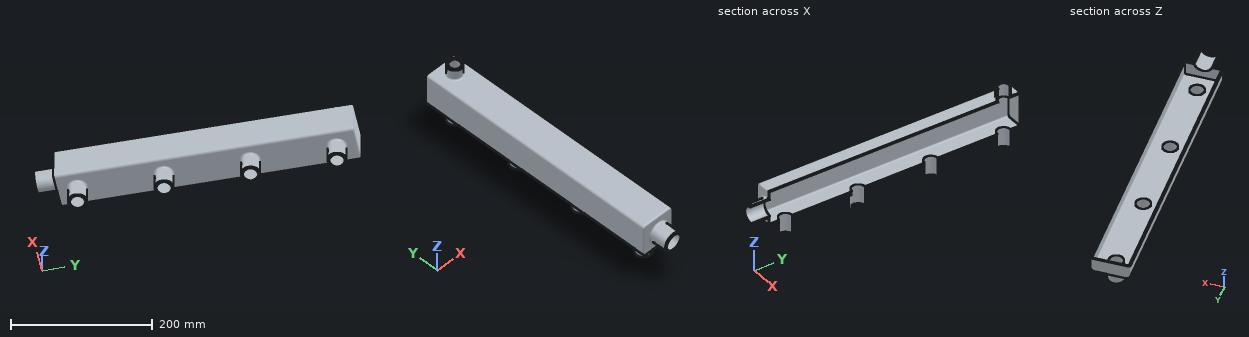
import cadquery as cq

body_width = 60.0
body_length = 435.0
wall = 3.0
corner_radius = 6.0
end_edge_radius = 3.0

inlet_diameter, inlet_bore, inlet_length = 33.5, 27.5, 30.0
outlet_diameter, outlet_bore, outlet_length = 26.8, 22.0, 30.0
vent_diameter, vent_bore, vent_length = 25.0, 18.63, 20.0
weld_radius = 3.0
rim_chamfer = 0.5

outlet_count = 4
outlet_pitch = 125.0
outlet_end_margin = (body_length - (outlet_count - 1) * outlet_pitch) / 2

half_width = body_width / 2
front_y = -body_length / 2
rear_outlet_y = body_length / 2 - outlet_end_margin

front_face = cq.Plane((0, front_y, 0), xDir=(1, 0, 0), normal=(0, -1, 0))


def top_face(y):
    return cq.Plane((0, y, half_width), xDir=(1, 0, 0), normal=(0, 0, 1))


def bottom_face(y):
    return cq.Plane((0, y, -half_width), xDir=(1, 0, 0), normal=(0, 0, -1))


def make_body():
    body = cq.Workplane("XY").box(body_width, body_length, body_width)
    body = body.edges("|Y").fillet(corner_radius)
    return body.faces("<Y or >Y").edges().fillet(end_edge_radius)


def make_cavity():
    inner_width = body_width - 2 * wall
    inner_length = body_length - 2 * wall
    cavity = cq.Workplane("XY").box(inner_width, inner_length, inner_width)
    return cavity.edges("|Y").fillet(corner_radius - wall)


def make_stub(face, diameter, length):
    """Pipe standing on a body face, with a concave weld fillet at its foot and a chamfered rim."""
    radius = diameter / 2
    foot_radius = radius + weld_radius
    fillet_mid_offset = weld_radius * (1 - 0.5 ** 0.5)
    profile = (
        cq.Workplane(face)
        .transformed(rotate=(90, 0, 0))
        .moveTo(0, -wall)
        .lineTo(foot_radius, -wall)
        .lineTo(foot_radius, 0)
        .threePointArc((radius + fillet_mid_offset, fillet_mid_offset), (radius, weld_radius))
        .lineTo(radius, length - rim_chamfer)
        .lineTo(radius - rim_chamfer, length)
        .lineTo(0, length)
        .close()
    )
    return profile.revolve(360, (0, 0), (0, 1))


def make_bore(face, diameter, length):
    """Cutter from the stub's free end through the body wall into the cavity."""
    start = cq.Workplane(face).workplane(offset=length)
    return start.circle(diameter / 2).extrude(-(length + wall))


stubs = [
    (front_face, inlet_diameter, inlet_bore, inlet_length),
    (top_face(rear_outlet_y), vent_diameter, vent_bore, vent_length),
]
for index in range(outlet_count):
    outlet_face = bottom_face(rear_outlet_y - index * outlet_pitch)
    stubs.append((outlet_face, outlet_diameter, outlet_bore, outlet_length))

result = make_body().cut(make_cavity())
for face, diameter, bore, length in stubs:
    result = result.union(make_stub(face, diameter, length))
    result = result.cut(make_bore(face, bore, length))